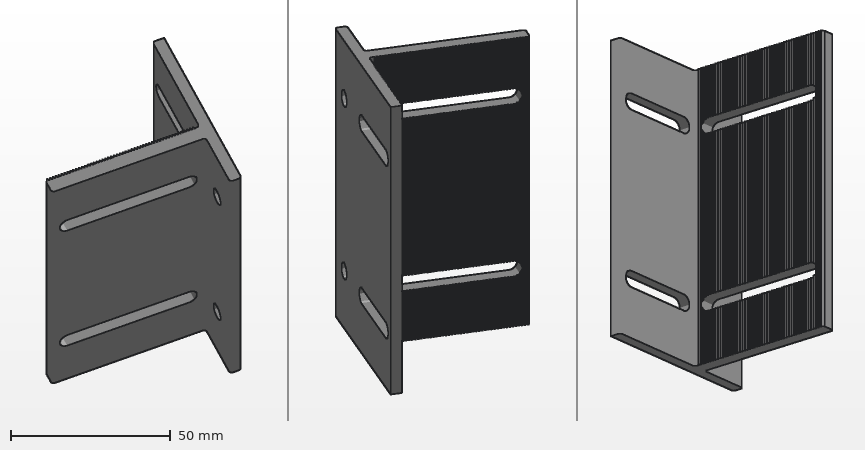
import cadquery as cq
import math

HEIGHT = 100.0
FLANGE_WIDTH = 60.0
FLANGE_THICKNESS = 4.0
FLANGE_FRONT = -FLANGE_THICKNESS

DEPTH = 56.7
WEB_END = -DEPTH
WEB_RIGHT = 41.2
WEB_THICKNESS = 4.9
WEB_LEFT = WEB_RIGHT - WEB_THICKNESS

EDGE_RADIUS = 1.0
ROOT_RADIUS = 1.0

TOOTH_COUNT = 51
TOOTH_PITCH = 1.0
TOOTH_HEIGHT = 0.5
TOOTH_TIP_WIDTH = 0.2
FIRST_TOOTH_Y = -6.0
FLANK_ANGLE = 29.0
FLANK_SLOPE = math.tan(math.radians(FLANK_ANGLE))
TOOTH_TIP_X = WEB_LEFT - TOOTH_HEIGHT
TOOTH_BASE_WIDTH = TOOTH_TIP_WIDTH + 2 * TOOTH_HEIGHT * FLANK_SLOPE

BORE = 5.5
ROW_INSET = 20.0
ROW_HEIGHTS = (ROW_INSET, HEIGHT - ROW_INSET)
HOLE_X = 50.0
FLANGE_SLOT_START = 2.7
FLANGE_SLOT_LENGTH = 31.0
WEB_SLOT_START = 7.0
WEB_SLOT_LENGTH = 47.0


def tooth_points(center_y):
    """Corners of one tooth, listed from the flange toward the web end."""
    return [
        (WEB_LEFT, center_y + TOOTH_BASE_WIDTH / 2),
        (TOOTH_TIP_X, center_y + TOOTH_TIP_WIDTH / 2),
        (TOOTH_TIP_X, center_y - TOOTH_TIP_WIDTH / 2),
        (WEB_LEFT, center_y - TOOTH_BASE_WIDTH / 2),
    ]


def serration_points():
    """Serrated face; the outer flank of the last tooth runs on to the web end as a bevel."""
    points = []
    for i in range(TOOTH_COUNT):
        points += tooth_points(FIRST_TOOTH_Y - i * TOOTH_PITCH)
    last_tip_y = points[-2][1]
    points[-1] = (TOOTH_TIP_X + (last_tip_y - WEB_END) / FLANK_SLOPE, WEB_END)
    return points


def fillet_upright_edges(body, corners, radius):
    """Round the edges parallel to Z that stand on the given section corners."""
    for x, y in corners:
        nearest = cq.selectors.NearestToPointSelector((x, y, HEIGHT / 2))
        body = body.edges("|Z").edges(nearest).fillet(radius)
    return body


def make_tee():
    """T-shaped bar with the serration; the back left edge of the flange stays sharp."""
    outline = [
        (0, 0),
        (0, FLANGE_FRONT),
        (WEB_LEFT, FLANGE_FRONT),
        *serration_points(),
        (WEB_RIGHT, WEB_END),
        (WEB_RIGHT, FLANGE_FRONT),
        (FLANGE_WIDTH, FLANGE_FRONT),
        (FLANGE_WIDTH, 0),
    ]
    body = cq.Workplane("XY").polyline(outline).close().extrude(HEIGHT)

    outer_corners = [
        (0, FLANGE_FRONT),
        (FLANGE_WIDTH, FLANGE_FRONT),
        (FLANGE_WIDTH, 0),
        (WEB_RIGHT, WEB_END),
    ]
    root_corners = [(WEB_LEFT, FLANGE_FRONT), (WEB_RIGHT, FLANGE_FRONT)]
    body = fillet_upright_edges(body, outer_corners, EDGE_RADIUS)
    return fillet_upright_edges(body, root_corners, ROOT_RADIUS)


def slot_cutter(plane, center, length, reach):
    """Horizontal slots, one per row, cut along the normal of the plane."""
    centers = [(center, z) for z in ROW_HEIGHTS]
    return cq.Workplane(plane).pushPoints(centers).slot2D(length, BORE).extrude(reach)


def hole_cutter():
    """Round holes through the flange, one per row."""
    centers = [(HOLE_X, z) for z in ROW_HEIGHTS]
    return cq.Workplane("XZ").pushPoints(centers).circle(BORE / 2).extrude(FLANGE_THICKNESS)


flange_slot_x = FLANGE_SLOT_START + FLANGE_SLOT_LENGTH / 2
web_slot_y = -(WEB_SLOT_START + WEB_SLOT_LENGTH / 2)
flange_slots = slot_cutter("XZ", flange_slot_x, FLANGE_SLOT_LENGTH, FLANGE_THICKNESS)
web_slots = slot_cutter("YZ", web_slot_y, WEB_SLOT_LENGTH, FLANGE_WIDTH)

result = make_tee().cut(flange_slots).cut(web_slots).cut(hole_cutter())